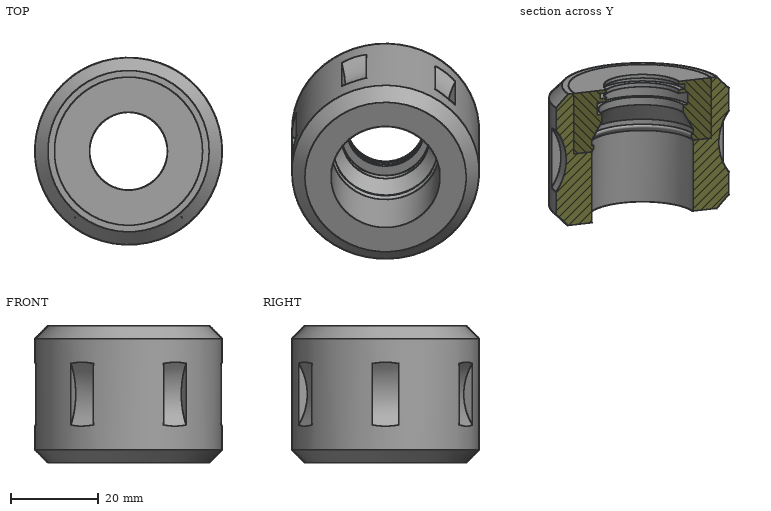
import cadquery as cq
import math

nut_radius = 21.5
nut_height = 31.5
nut_chamfer = 3.0
lower_bore_radius = 12.5

slot_count = 6
slot_width = 6.0
slot_floor_radius = 19.0
slot_cutter_radius = 12.0

insert_radius = 17.0
mouth_radius = 8.9
seal_groove_top = 0.85
seal_groove_bottom = 2.0
seal_groove_radius = 10.4
disc_groove_top = 2.95
disc_groove_bottom = 5.75
disc_groove_radius = 11.2
cone_small_radius = 10.1
cone_large_radius = lower_bore_radius
cone_half_angle = math.radians(30)
cone_slope = 1 / math.tan(cone_half_angle)
cone_top = 7.6
cone_bottom = cone_top + (cone_large_radius - cone_small_radius) * cone_slope
nose_top = 12.95
nose_radius = 0.5
nose_inner_radius = cone_large_radius - nose_radius
nose_center_depth = nose_top + nose_radius
flare_top_radius = cone_large_radius - nose_radius * math.cos(cone_half_angle)
flare_top = nose_center_depth + nose_radius * math.sin(cone_half_angle)
insert_depth = flare_top + (lower_bore_radius - flare_top_radius) * cone_slope


def make_nut():
    nut = cq.Workplane("XY").circle(nut_radius).extrude(nut_height)
    nut = nut.faces("<Z or >Z").edges().chamfer(nut_chamfer)
    nut = nut.cut(cq.Workplane("XY").circle(lower_bore_radius).extrude(nut_height))
    seat = cq.Workplane("XY").workplane(offset=nut_height - insert_depth)
    nut = nut.cut(seat.circle(insert_radius).extrude(insert_depth))
    for index in range(slot_count):
        nut = nut.cut(make_slot_cutter(index * 360 / slot_count))
    return nut


def make_slot_cutter(angle):
    """Disc with a tangential axis whose rim touches the slot floor at mid height."""
    cutter = (
        cq.Workplane("XZ")
        .center(slot_floor_radius + slot_cutter_radius, nut_height / 2)
        .circle(slot_cutter_radius)
        .extrude(slot_width / 2, both=True)
    )
    return cutter.rotate((0, 0, 0), (0, 0, 1), angle)


def make_insert():
    """Revolve the half section, drawn with depth measured down from the top face."""
    section = (
        cq.Workplane("XZ", origin=(0, 0, nut_height))
        .moveTo(insert_radius, 0)
        .lineTo(mouth_radius, 0)
        .lineTo(mouth_radius, -seal_groove_top)
        .lineTo(seal_groove_radius, -seal_groove_top)
        .lineTo(seal_groove_radius, -seal_groove_bottom)
        .lineTo(mouth_radius, -seal_groove_bottom)
        .lineTo(mouth_radius, -disc_groove_top)
        .lineTo(disc_groove_radius, -disc_groove_top)
        .lineTo(disc_groove_radius, -disc_groove_bottom)
        .lineTo(cone_small_radius, -disc_groove_bottom)
        .lineTo(cone_small_radius, -cone_top)
        .lineTo(cone_large_radius, -cone_bottom)
        .lineTo(cone_large_radius, -nose_top)
        .threePointArc((nose_inner_radius, -nose_center_depth), (flare_top_radius, -flare_top))
        .lineTo(lower_bore_radius, -insert_depth)
        .lineTo(insert_radius, -insert_depth)
        .close()
    )
    return section.revolve(360, (0, 0, 0), (0, 1, 0))


nut = make_nut()
insert = make_insert()

result = cq.Compound.makeCompound([nut.val(), insert.val()])